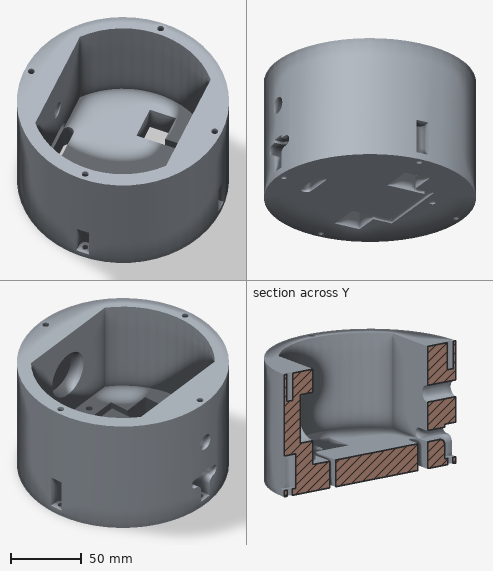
import cadquery as cq

outer_diameter = 150
height = 90
cavity_diameter = 129.9
cavity_width = 99.9
floor_thickness = 20.0

screw_circle_radius = 70.0
rim_hole_diameter = 4.8
rim_hole_depth = 20.0
pocket_width = 9.5
pocket_bottom = 5.0
pocket_top = 30
base_hole_diameter = 4.0

cable_slot_length = 27.9
cable_slot_width = 8.0
cable_flare_radius = 5.0

bore_height = 55.0
small_bore_diameter = 12
large_bore_diameter = 35.2
large_bore_depth = 11.0

window_half_length = 50.0
window_width = 20.0
bridge_outer_x = 35.0
bridge_outer_y = 30
bridge_gap = 5.0
floor_hole_diameter = 4.8
floor_hole_position = (42.5, -14.7)

outer_radius = outer_diameter / 2
cavity_half_width = cavity_width / 2
quarter_turns = (0, 90, 180, 270)


def vertical_cylinder(diameter, bottom, length, center=(0, 0)):
    return cq.Workplane("XY", origin=(*center, bottom)).circle(diameter / 2).extrude(length)


def bore_along_x(diameter, start_x, length):
    return cq.Workplane("YZ", origin=(start_x, 0, bore_height)).circle(diameter / 2).extrude(length)


def make_cavity():
    depth = height - floor_thickness
    flats = cq.Workplane("XY", origin=(0, 0, floor_thickness)).rect(cavity_width, outer_diameter).extrude(depth)
    return vertical_cylinder(cavity_diameter, floor_thickness, depth).intersect(flats)


def make_pocket():
    """Round-backed pocket, open outward through the +X side."""
    pocket_height = pocket_top - pocket_bottom
    back = vertical_cylinder(pocket_width, pocket_bottom, pocket_height, (screw_circle_radius, 0))
    mouth = cq.Workplane("XY").box(
        pocket_width, pocket_width, pocket_height, centered=(False, True, False)
    ).translate((screw_circle_radius, 0, pocket_bottom))
    return back.union(mouth)


def make_floor_window():
    """Two rectangular windows joined by a narrow C-shaped gap."""
    inner_x = bridge_outer_x - bridge_gap
    inner_y = bridge_outer_y - bridge_gap
    upper_outline = [
        (inner_x, inner_y),
        (0, inner_y),
        (0, window_half_length),
        (window_width, window_half_length),
        (window_width, bridge_outer_y),
        (bridge_outer_x, bridge_outer_y),
    ]
    lower_outline = [(x, -y) for x, y in reversed(upper_outline)]
    return cq.Workplane("XY").polyline(upper_outline + lower_outline).close().extrude(floor_thickness)


def make_side_cable_slot():
    """Level slot from the -X side into the cavity, flush with its floor."""
    return (
        cq.Workplane("YZ", origin=(-outer_radius, 0, floor_thickness + cable_slot_width / 2))
        .slot2D(cable_slot_length, cable_slot_width)
        .extrude(outer_radius - cavity_half_width)
    )


def make_floor_cable_slot():
    """Upright slot through the floor, against the -X cavity wall."""
    return (
        cq.Workplane("XY", origin=(cable_slot_width / 2 - cavity_half_width, 0, 0))
        .slot2D(cable_slot_length, cable_slot_width, 90)
        .extrude(floor_thickness)
    )


def make_cable_flare():
    """Rounded widening where the -X pocket meets the underside of the side slot."""
    bottom = floor_thickness - cable_flare_radius
    arc_inset = cable_flare_radius * (1 - 0.5 ** 0.5)
    inner = pocket_width / 2
    arc_start = (inner, bottom)
    arc_mid = (inner + arc_inset, floor_thickness - arc_inset)
    arc_end = (inner + cable_flare_radius, floor_thickness)

    def half_section(plane):
        return (
            cq.Workplane(plane, origin=(-screw_circle_radius, 0, 0))
            .moveTo(0, bottom)
            .lineTo(*arc_start)
            .threePointArc(arc_mid, arc_end)
            .lineTo(0, floor_thickness)
            .close()
        )

    back = half_section("XZ").revolve(360, (0, 0, 0), (0, 1, 0))
    mouth = half_section("YZ").extrude(-pocket_width)
    return back.union(mouth).union(mouth.mirror("XZ"))


result = vertical_cylinder(outer_diameter, 0, height).cut(make_cavity())

pocket = make_pocket()
rim_hole = vertical_cylinder(
    rim_hole_diameter, height - rim_hole_depth, rim_hole_depth, (screw_circle_radius, 0)
)
base_hole = vertical_cylinder(base_hole_diameter, 0, pocket_bottom, (screw_circle_radius, 0))
for angle in quarter_turns:
    for cutter in (pocket, rim_hole, base_hole):
        result = result.cut(cutter.rotate((0, 0, 0), (0, 0, 1), angle))

result = result.cut(make_floor_window())
result = result.cut(vertical_cylinder(floor_hole_diameter, 0, floor_thickness, floor_hole_position))
result = result.cut(make_side_cable_slot()).cut(make_floor_cable_slot()).cut(make_cable_flare())
result = result.cut(bore_along_x(small_bore_diameter, -outer_radius, outer_radius - cavity_half_width))
result = result.cut(bore_along_x(large_bore_diameter, cavity_half_width, large_bore_depth))